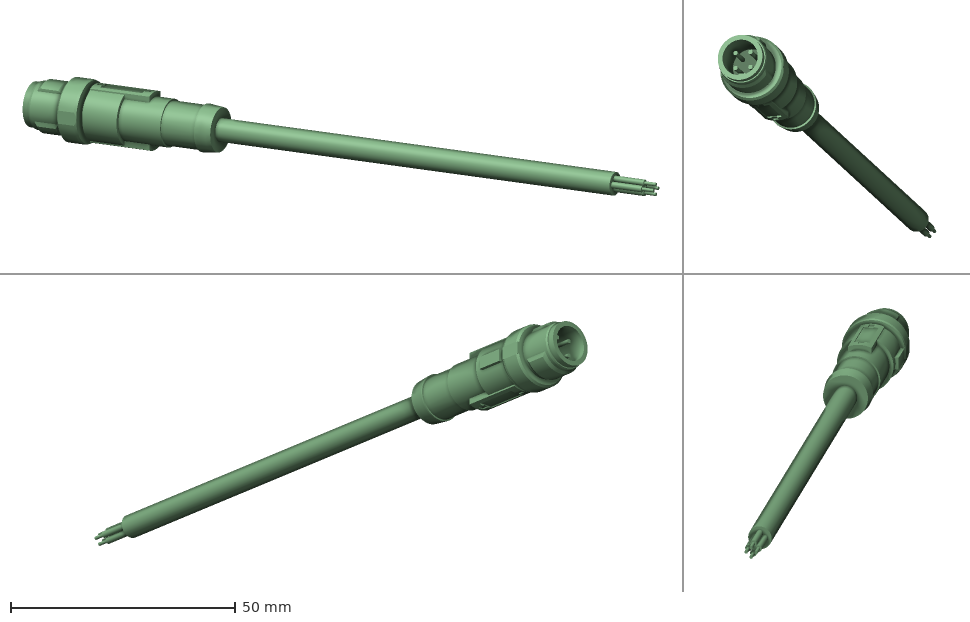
import cadquery as cq

TOTAL_LENGTH = 156.8

TIP_RADIUS = 5.2
NOSE_DIAMETER = 11.1
NOSE_RADIUS = NOSE_DIAMETER / 2
NOSE_SHOULDER_X = 1.5
NOSE_CHAMFER_LENGTH = 0.5
NOSE_CHAMFER_DEPTH = 0.2
BORE_RADIUS = 4.0
BORE_DEPTH = 8.6

PIN_RADIUS = 0.5
PIN_OFFSET = 1.7
PIN_RECESS = 2.4
KEY_WIDTH = 1.7
KEY_HEIGHT = 0.8
KEY_RECESS = 1.5

PAD_RADIUS = 6.1
PAD_START_X = 2.8
PAD_END_X = 9.0
PAD_RAMP = 0.8
TOP_PAD_WIDTH = 7.2
BOTTOM_PAD_WIDTH = 10.0

COLLAR_RADIUS = 7.4
COLLAR_START_X = 9.5
COLLAR_END_X = 14.6
COLLAR_FRONT_CHAMFER = 0.5
COLLAR_REAR_CHAMFER_LENGTH = 0.6
COLLAR_REAR_CHAMFER_DEPTH = 0.2
COLLAR_FLAT_Y = 7.2

NECK_RADIUS = 4.5
BODY_RADIUS = 6.5
BODY_START_X = 15.7
BODY_END_X = 24.3
SHANK_RADIUS = 5.5
SHANK_END_X = 34.8
GRIP_DIAMETER = 10.2
GRIP_RADIUS = GRIP_DIAMETER / 2
RIM_RADIUS = 5.5
RIM_START_X = 43.3
RIM_END_X = 47.2
RIM_LIP = 0.3

RIB_RADIUS = 6.7
RIB_WIDTH = 5.3
RIB_END_X = 30.5
RECESS_START_X = 17.7
RECESS_END_X = 28.2
RECESS_WIDTH = 3.5
RECESS_FLOOR_Z = 6.3
NOTCH_WIDTH = 1.3
NOTCH_LENGTH = 1.5
NOTCH_FLOOR_Z = 6.5

MARK_WIDTH = 2.8
MARK_END_X = 22.3

JACKET_RADIUS = 2.7
JACKET_END_X = 146.5
WIRE_RADIUS = 0.75
WIRE_OFFSET = 1.13
INSULATION_END_X = 154.0
STRAND_RADIUS = 0.39


def cylinder(start_x, end_x, radius, y=0.0, z=0.0):
    """Round bar parallel to X."""
    bar = cq.Workplane("YZ", origin=(start_x, 0, 0)).center(y, z)
    return bar.circle(radius).extrude(end_x - start_x)


def block(start_x, end_x, start_y, end_y, start_z, end_z):
    """Box given by its limits along X, Y and Z."""
    size = (end_x - start_x, end_y - start_y, end_z - start_z)
    return cq.Workplane("XY").box(*size, centered=False).translate((start_x, start_y, start_z))


def turned(profile):
    """Solid of revolution about X; the profile lists (x, radius) points."""
    return cq.Workplane("XY").polyline(profile).close().revolve(360, (0, 0, 0), (1, 0, 0))


def housing():
    """Turned outline from the nose tip to the cable end of the grip."""
    rim_lip_x = RIM_START_X + RIM_LIP
    return turned([
        (0, 0),
        (0, TIP_RADIUS),
        (NOSE_SHOULDER_X, TIP_RADIUS),
        (NOSE_SHOULDER_X, NOSE_RADIUS - NOSE_CHAMFER_DEPTH),
        (NOSE_SHOULDER_X + NOSE_CHAMFER_LENGTH, NOSE_RADIUS),
        (COLLAR_START_X, NOSE_RADIUS),
        (COLLAR_START_X, NECK_RADIUS),
        (BODY_START_X, NECK_RADIUS),
        (BODY_START_X, BODY_RADIUS),
        (BODY_END_X, BODY_RADIUS),
        (BODY_END_X, SHANK_RADIUS),
        (SHANK_END_X, SHANK_RADIUS),
        (SHANK_END_X, GRIP_RADIUS),
        (RIM_START_X, GRIP_RADIUS),
        (RIM_START_X, RIM_RADIUS),
        (rim_lip_x, RIM_RADIUS),
        (RIM_END_X, GRIP_RADIUS),
        (RIM_END_X, 0),
    ])


def collar():
    """Chamfered ring with a flat on the +Y and -Y sides."""
    ring = turned([
        (COLLAR_START_X, 0),
        (COLLAR_START_X, COLLAR_RADIUS - COLLAR_FRONT_CHAMFER),
        (COLLAR_START_X + COLLAR_FRONT_CHAMFER, COLLAR_RADIUS),
        (COLLAR_END_X - COLLAR_REAR_CHAMFER_LENGTH, COLLAR_RADIUS),
        (COLLAR_END_X, COLLAR_RADIUS - COLLAR_REAR_CHAMFER_DEPTH),
        (COLLAR_END_X, 0),
    ])
    between_flats = block(
        COLLAR_START_X, COLLAR_END_X,
        -COLLAR_FLAT_Y, COLLAR_FLAT_Y,
        -COLLAR_RADIUS, COLLAR_RADIUS,
    )
    return ring.intersect(between_flats)


def latch_pads():
    """Ramped pads: a narrow one above the nose and a wide one below it."""
    ring = turned([
        (PAD_START_X, 0),
        (PAD_START_X, NOSE_RADIUS),
        (PAD_START_X + PAD_RAMP, PAD_RADIUS),
        (PAD_END_X - PAD_RAMP, PAD_RADIUS),
        (PAD_END_X, NOSE_RADIUS),
        (PAD_END_X, 0),
    ])
    top_half = TOP_PAD_WIDTH / 2
    bottom_half = BOTTOM_PAD_WIDTH / 2
    top = block(PAD_START_X, PAD_END_X, -top_half, top_half, 0, PAD_RADIUS)
    bottom = block(PAD_START_X, PAD_END_X, -bottom_half, bottom_half, -PAD_RADIUS, 0)
    return ring.intersect(top.union(bottom))


def rib_and_recess():
    """Rounded rib, and the flat recess with end notches to cut into it."""
    half = RIB_WIDTH / 2
    rib = cylinder(BODY_START_X, RIB_END_X, RIB_RADIUS)
    rib = rib.intersect(block(BODY_START_X, RIB_END_X, -half, half, 0, RIB_RADIUS))
    recess_half = RECESS_WIDTH / 2
    recess = block(
        RECESS_START_X, RECESS_END_X, -recess_half, recess_half, RECESS_FLOOR_Z, RIB_RADIUS
    )
    notch_half = NOTCH_WIDTH / 2
    notch = block(
        RECESS_START_X - NOTCH_LENGTH, RECESS_END_X + NOTCH_LENGTH,
        -notch_half, notch_half, NOTCH_FLOOR_Z, RIB_RADIUS,
    )
    return rib, recess.union(notch)


def alignment_mark():
    """Straight bar on the +Y side, interrupted by the neck gap."""
    half = MARK_WIDTH / 2
    spans = [(COLLAR_START_X, COLLAR_END_X), (BODY_START_X, MARK_END_X)]
    bars = cq.Workplane("XY")
    for start_x, end_x in spans:
        bars = bars.union(block(start_x, end_x, 0, COLLAR_FLAT_Y, -half, half))
    return bars


def bore_with_contacts():
    """Bore to remove from the nose, leaving the four pins and the coding key."""
    bore = cylinder(0, BORE_DEPTH, BORE_RADIUS)
    for y in (-PIN_OFFSET, PIN_OFFSET):
        for z in (-PIN_OFFSET, PIN_OFFSET):
            bore = bore.cut(cylinder(PIN_RECESS, BORE_DEPTH, PIN_RADIUS, y, z))
    half = KEY_WIDTH / 2
    key = block(KEY_RECESS, BORE_DEPTH, -half, half, -BORE_RADIUS, KEY_HEIGHT - BORE_RADIUS)
    return bore.cut(key)


def cable():
    """Jacket and four insulated wires with bare ends."""
    jacket = cylinder(RIM_END_X, JACKET_END_X, JACKET_RADIUS)
    places = [(WIRE_OFFSET, 0), (0, WIRE_OFFSET), (-WIRE_OFFSET, 0), (0, -WIRE_OFFSET)]
    for y, z in places:
        jacket = jacket.union(cylinder(JACKET_END_X, INSULATION_END_X, WIRE_RADIUS, y, z))
        jacket = jacket.union(cylinder(INSULATION_END_X, TOTAL_LENGTH, STRAND_RADIUS, y, z))
    return jacket


rib, rib_recess = rib_and_recess()
result = housing().union(collar()).union(latch_pads()).union(alignment_mark())
for angle in (0, 180):
    result = result.union(rib.rotate((0, 0, 0), (1, 0, 0), angle))
    result = result.cut(rib_recess.rotate((0, 0, 0), (1, 0, 0), angle))
result = result.cut(bore_with_contacts())
result = result.union(cable())